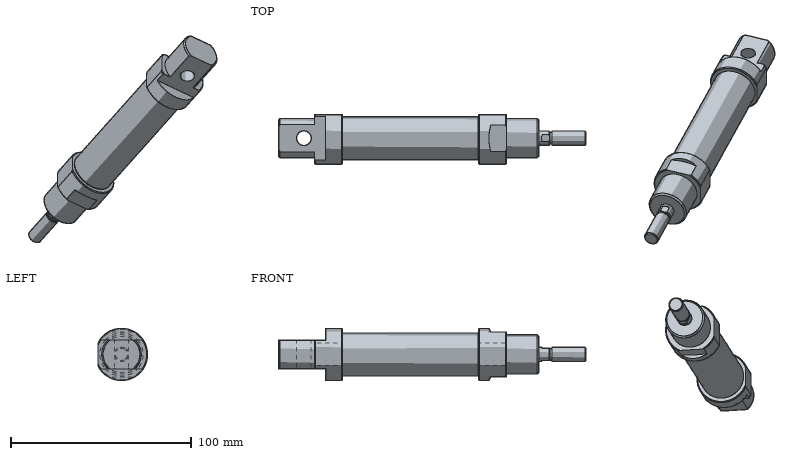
import cadquery as cq


lug_length = 19.8
rear_slab_length = 26.0
rear_cap_length = 35.5
tube_length = 75.1
head_land_length = 0.4
head_length = 15.4
neck_length = 18.0
rod_shank_length = 6.1
undercut_length = 1.2
total_length = 170.5

cap_diameter = 29.0
side_flat_offset = 13.1
lug_diameter = 22.0
lug_thickness = 16.0
tube_diameter = 24.0
neck_diameter = 22.0
rod_diameter = 8.0
undercut_diameter = 6.6

edge_chamfer = 0.5
lug_chamfer = 0.75
neck_chamfer = 0.9
pin_hole_diameter = 8.0
pin_hole_x = 14.0
head_flats_width = 25.0
head_flats_length = 9.7
head_flats_end_radius = 26.0
rod_flats_width = 7.0
rod_flats_length = 4.6
rod_flats_end_radius = 4.0

tube_start = rear_cap_length
tube_end = tube_start + tube_length
head_start = tube_end + head_land_length
neck_start = head_start + head_length
rod_start = neck_start + neck_length
shank_end = rod_start + rod_shank_length
thread_start = shank_end + undercut_length


def cylinder(start, end, diameter):
    """Round bar along X between two positions."""
    return cq.Workplane("YZ", origin=(start, 0, 0)).circle(diameter / 2).extrude(end - start)


def slab_above(start, end, height):
    """Block covering everything above a given height between two positions."""
    length = end - start
    block = cq.Workplane("XY").box(length, cap_diameter, cap_diameter, centered=(False, True, False))
    return block.translate((start, 0, height))


def cut_side_flat(body, start, end):
    """Mill the flat on the +Y side of a cap."""
    cutter = slab_above(start, end, side_flat_offset).rotate((0, 0, 0), (1, 0, 0), -90)
    return body.cut(cutter)


def cut_wrench_flats(body, start, end, width, end_radius):
    """Mill two parallel flats, above and below the axis, whose inner end is an arc bulging toward -X."""
    band = slab_above(start, end, width / 2)
    round_end = (
        cq.Workplane("XY", origin=(start + end_radius, 0, width / 2))
        .circle(end_radius)
        .extrude(cap_diameter)
    )
    cutter = band.intersect(round_end)
    return body.cut(cutter).cut(cutter.mirror("XY"))


def make_rear_cap():
    lug = cylinder(0, lug_length, lug_diameter).faces("<X").chamfer(lug_chamfer)
    collar = cylinder(lug_length, rear_cap_length, cap_diameter).faces("<X or >X").chamfer(edge_chamfer)
    cap = cut_side_flat(lug.union(collar), lug_length, rear_cap_length)
    lug_relief = slab_above(0, rear_slab_length, lug_thickness / 2)
    cap = cap.cut(lug_relief).cut(lug_relief.mirror("XY"))
    pin_hole = (
        cq.Workplane("XY", origin=(pin_hole_x, 0, 0))
        .circle(pin_hole_diameter / 2)
        .extrude(lug_thickness, both=True)
    )
    return cap.cut(pin_hole)


def make_tube():
    return cylinder(tube_start, tube_end, tube_diameter)


def make_front_head():
    head = cylinder(head_start, neck_start, cap_diameter).faces("<X or >X").chamfer(edge_chamfer)
    head = cut_side_flat(head, head_start, neck_start)
    flats_start = neck_start - head_flats_length
    head = cut_wrench_flats(head, flats_start, neck_start, head_flats_width, head_flats_end_radius)
    neck = cylinder(neck_start, rod_start, neck_diameter).faces(">X").chamfer(neck_chamfer)
    land = cylinder(tube_end, head_start, tube_diameter)
    return head.union(neck).union(land)


def make_piston_rod():
    shank = cylinder(rod_start, shank_end, rod_diameter).faces(">X").chamfer(edge_chamfer)
    flats_start = shank_end - rod_flats_length
    shank = cut_wrench_flats(shank, flats_start, shank_end, rod_flats_width, rod_flats_end_radius)
    undercut = cylinder(shank_end, thread_start, undercut_diameter)
    thread = cylinder(thread_start, total_length, rod_diameter).faces(">X").chamfer(edge_chamfer)
    return shank.union(undercut).union(thread)


rear_cap = make_rear_cap()
tube = make_tube()
front_head = make_front_head()
piston_rod = make_piston_rod()

result = cq.Compound.makeCompound([rear_cap.val(), tube.val(), front_head.val(), piston_rod.val()])